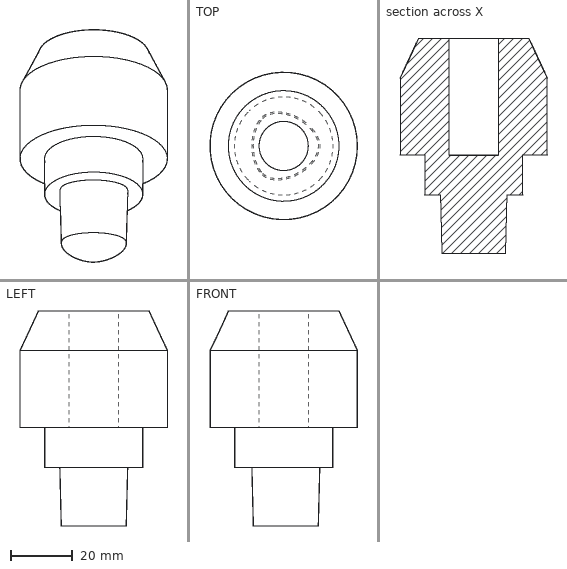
import cadquery as cq
import math

TOTAL_LENGTH = 70.0
SHANK_LENGTH = 19.0
NOSE_TOP = TOTAL_LENGTH - SHANK_LENGTH
FLANGE_DIAMETER = 32.0
FLANGE_HEIGHT = 13.0
BODY_DIAMETER = 48.0
NOSE_DIAMETER = 36.0
NOSE_HALF_ANGLE = math.radians(25.0)
NOSE_HEIGHT = (BODY_DIAMETER - NOSE_DIAMETER) / 2 / math.tan(NOSE_HALF_ANGLE)

BORE_DIAMETER = 16.0
BORE_DEPTH = NOSE_TOP - FLANGE_HEIGHT

SHANK_TOP_DIAMETER = 22.15
SHANK_TAPER = 1.0 / 20.0
LOBE_ECCENTRICITY = 0.7
LOBE_CURVE_POINTS = 60


def make_body():
    """Flange, cylindrical body and conical nose as one revolved profile."""
    flange_radius = FLANGE_DIAMETER / 2
    body_radius = BODY_DIAMETER / 2
    body_top = NOSE_TOP - NOSE_HEIGHT
    profile = (
        cq.Workplane("XZ")
        .moveTo(0, 0)
        .lineTo(flange_radius, 0)
        .lineTo(flange_radius, FLANGE_HEIGHT)
        .lineTo(body_radius, FLANGE_HEIGHT)
        .lineTo(body_radius, body_top)
        .lineTo(NOSE_DIAMETER / 2, NOSE_TOP)
        .lineTo(0, NOSE_TOP)
        .close()
    )
    return profile.revolve(360, (0, 0, 0), (0, 1, 0))


def lobe_point(angle, mean_diameter):
    """Point of the three-lobed constant-width curve whose normal has this angle; one lobe is on +X."""
    mean_radius = mean_diameter / 2
    e = LOBE_ECCENTRICITY
    x = mean_radius * math.cos(angle) + 2 * e * math.cos(2 * angle) - e * math.cos(4 * angle)
    y = mean_radius * math.sin(angle) - 2 * e * math.sin(2 * angle) - e * math.sin(4 * angle)
    return x, y


def lobe_curve(mean_diameter):
    """Closed curve points, starting in the middle of the flat flank on -X."""
    step = 2 * math.pi / LOBE_CURVE_POINTS
    return [lobe_point(math.pi + i * step, mean_diameter) for i in range(LOBE_CURVE_POINTS)]


def make_shank():
    """Loft between the small lower section and the large section at the flange face."""
    bottom_diameter = SHANK_TOP_DIAMETER - SHANK_TAPER * SHANK_LENGTH
    return (
        cq.Workplane("XY")
        .workplane(offset=-SHANK_LENGTH)
        .spline(lobe_curve(bottom_diameter), periodic=True, makeWire=True)
        .workplane(offset=SHANK_LENGTH)
        .spline(lobe_curve(SHANK_TOP_DIAMETER), periodic=True, makeWire=True)
        .loft(ruled=True, combine=True)
    )


def make_bore():
    """Cylinder that removes the blind bore."""
    return (
        cq.Workplane("XY")
        .workplane(offset=NOSE_TOP - BORE_DEPTH)
        .circle(BORE_DIAMETER / 2)
        .extrude(BORE_DEPTH)
    )


result = make_body().union(make_shank()).cut(make_bore())